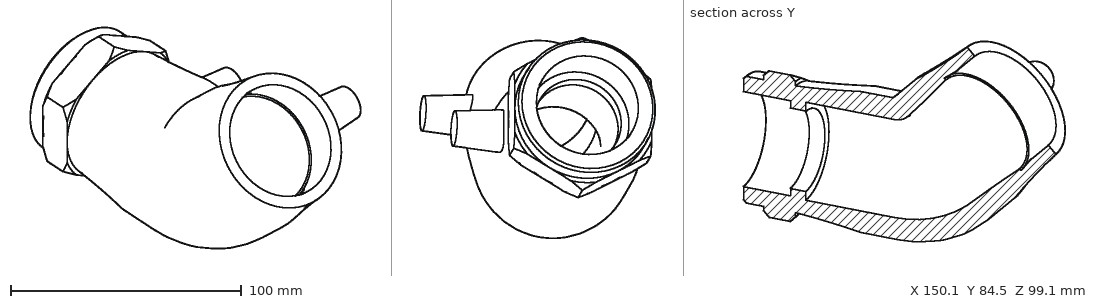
import cadquery as cq
import math

bend_angle = 45.0
bend_radius = 28.5
bend_start = 74.0
outlet_length = 60.8

body_dia = 67.0
end_dia = 60.3
taper_length = 31.2
taper_hollow = 0.3

ring_length = 9.6
ring_chamfer = 1.4
hex_length = 15.5
hex_flats = 60.3
hex_chamfer = 2.7

thread_dia = 44.8
thread_depth = 22.5
orifice_dia = 38.0
orifice_end = 30.0

bend_bore_dia = 46.2
bore_bend_radius = 32.2
outlet_bore_dia = 50.0
groove_near = 12.9
groove_far = 19.6
groove_dia = 51.9

terminal_tip_dia = 15.3
terminal_base_dia = 19.4
terminal_base_y = 25.2
terminal_tip_y = 51.0
inlet_terminal_x = 42.0
outlet_terminal_distance = 44.1

half_bend = math.radians(bend_angle / 2)
outer_tangent = bend_radius * math.tan(half_bend)
axis_crossing_x = bend_start + outer_tangent
hex_end = ring_length + hex_length
taper_end = hex_end + taper_length


def cylinder_x(start, end, dia):
    """Cylinder on the X axis between two X positions."""
    return cq.Workplane("YZ").workplane(offset=start).circle(dia / 2).extrude(end - start)


def revolve_x(profile):
    """Revolve an XY profile about the X axis."""
    return profile.revolve(360, (0, 0, 0), (1, 0, 0))


def to_outlet(solid):
    """Place a solid modelled along X from the origin onto the outlet axis."""
    turned = solid.rotate((0, 0, 0), (0, 1, 0), -bend_angle)
    return turned.translate((axis_crossing_x, 0, 0))


def elbow_bend(dia, radius):
    """Torus sector joining both axes; a section wider than the pivot is cut off at the pivot."""
    start = axis_crossing_x - radius * math.tan(half_bend)
    rim = dia / 2
    section = cq.Sketch().circle(rim)
    if rim > radius:
        section = section.push([(0, radius + rim)]).rect(2 * dia, 2 * rim, mode="s")
    plane = cq.Workplane("YZ", origin=(start, 0, 0))
    return plane.placeSketch(section).revolve(bend_angle, (1.5, radius), (-1.5, radius))


def tapered_sleeve(narrow_x, wide_x, straight_end):
    """Straight length of body diameter with a curved taper at its open end."""
    middle = ((narrow_x + wide_x) / 2, (body_dia + end_dia) / 4 - taper_hollow)
    return revolve_x(
        cq.Workplane("XY")
        .moveTo(narrow_x, 0)
        .lineTo(narrow_x, end_dia / 2)
        .spline([middle, (wide_x, body_dia / 2)], includeCurrent=True)
        .lineTo(straight_end, body_dia / 2)
        .lineTo(straight_end, 0)
        .close()
    )


def hexagon():
    """Hexagon with corners up and down, its corners turned off at both ends."""
    corner_dia = hex_flats / math.cos(math.pi / 6)
    plane = cq.Workplane("YZ", origin=(ring_length, 0, 0)).transformed(rotate=(0, 0, 90))
    prism = plane.polygon(6, corner_dia).extrude(hex_length)
    envelope = cylinder_x(ring_length, hex_end, corner_dia).edges().chamfer(hex_chamfer)
    return prism.intersect(envelope)


def terminal(x, z):
    """Tapered terminal pointing along +Y."""
    height = terminal_tip_y - terminal_base_y
    profile = (
        cq.Workplane("XY")
        .polyline([(0, 0), (terminal_base_dia / 2, 0), (terminal_tip_dia / 2, height), (0, height)])
        .close()
    )
    return profile.revolve(360, (0, 0, 0), (0, 1, 0)).translate((x, terminal_base_y, z))


inlet_sleeve = tapered_sleeve(hex_end, taper_end, bend_start)
outlet_sleeve = to_outlet(
    tapered_sleeve(outlet_length, outlet_length - taper_length, outer_tangent)
)
body = inlet_sleeve.union(elbow_bend(body_dia, bend_radius)).union(outlet_sleeve)

ring = cylinder_x(0, ring_length, end_dia).faces("<X").edges().chamfer(ring_chamfer)
body = body.union(ring).union(hexagon())

outlet_rise = math.radians(bend_angle)
outlet_terminal_x = axis_crossing_x + outlet_terminal_distance * math.cos(outlet_rise)
outlet_terminal_z = outlet_terminal_distance * math.sin(outlet_rise)
body = body.union(terminal(inlet_terminal_x, 0))
body = body.union(terminal(outlet_terminal_x, outlet_terminal_z))

body = body.cut(cylinder_x(0, thread_depth, thread_dia))
body = body.cut(cylinder_x(thread_depth, orifice_end, orifice_dia))

bore_tangent = bore_bend_radius * math.tan(half_bend)
body = body.cut(cylinder_x(orifice_end, axis_crossing_x - bore_tangent, bend_bore_dia))
body = body.cut(elbow_bend(bend_bore_dia, bore_bend_radius))

groove_start = outlet_length - groove_far
groove_stop = outlet_length - groove_near
outlet_bore = revolve_x(
    cq.Workplane("XY")
    .moveTo(bore_tangent, 0)
    .lineTo(bore_tangent, bend_bore_dia / 2)
    .lineTo(groove_start, outlet_bore_dia / 2)
    .lineTo(groove_start, groove_dia / 2)
    .lineTo(groove_stop, outlet_bore_dia / 2)
    .lineTo(outlet_length, outlet_bore_dia / 2)
    .lineTo(outlet_length, 0)
    .close()
)
result = body.cut(to_outlet(outlet_bore))